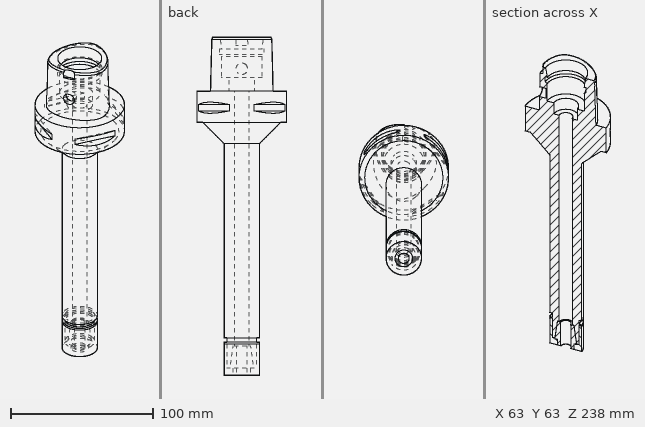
import cadquery as cq
import math


overall_length = 238.0
shank_length = 38.0
bottom_z = shank_length - overall_length

shank_base_radius = 22.1
shank_taper = 1.0
lobe_height = 1.5
shank_points = 24
rim_chamfer_height = 1.7
rim_chamfer_width = 0.7

notch_radius = 6.0
notch_depth = 6.0
notch_floor_y = -17.8
side_hole_radius = 4.0
side_hole_z = 15.7
side_hole_floor_y = -15.5

flange_diameter = 63.0
flange_radius = flange_diameter / 2
flange_height = 22.0
slot_count = 4
slot_floor_distance = 27.5
slot_floor_height = 4.3
slot_flare = 1.78
slot_z = -11.7
first_slot_angle = 45.0
cone_height = 15.0

bar_diameter = 25.0
bar_radius = bar_diameter / 2
cone_top_radius = bar_radius + cone_height
nut_length = 22.0
nut_top_z = bottom_z + nut_length
collar_height = 1.5
groove_height = 3.0
neck_radius = 10.5
nose_length = 16.7
nose_end_z = nut_top_z - nose_length

mouth_radius = 15.5
socket_radius = 14.3
recess_radius = 15.7
mouth_depth = 6.7
recess_start = 8.3
recess_cone_start = 12.1
recess_end = recess_cone_start + recess_radius - socket_radius
socket_depth = 28.5
pilot_radius = 9.0
pilot_depth = 38.0
channel_radius = 5.0

collet_bore_radius = 3.8
collet_head_radius = 8.3
collet_end_radius = 6.2
collet_inset = 1.2
collet_top_z = nut_top_z - collet_inset


def revolved(profile):
    """Solid of revolution about Z from (radius, z) points."""
    return cq.Workplane("XZ").polyline(profile).close().revolve(360, (0, 0), (0, 1))


def cylinder(radius, low_z, high_z):
    """Cylinder on the Z axis between two heights."""
    return cq.Workplane("XY").workplane(offset=low_z).circle(radius).extrude(high_z - low_z)


def lobed_point(mean_radius, angle):
    """Point of the three-lobed outline whose tangent faces the given angle; one lobe faces +Y."""
    lobe_angle = 3 * (angle - math.pi / 2)
    reach = mean_radius + lobe_height * math.cos(lobe_angle)
    slide = -3 * lobe_height * math.sin(lobe_angle)
    x = reach * math.cos(angle) - slide * math.sin(angle)
    y = reach * math.sin(angle) + slide * math.cos(angle)
    return (x, y)


def lobed_frustum(low_radius, high_radius, low_z, high_z):
    """Tapered three-lobed solid between two heights."""
    angles = [-math.pi / 2 + 2 * math.pi * i / shank_points for i in range(shank_points)]
    low_points = [lobed_point(low_radius, angle) for angle in angles]
    high_points = [lobed_point(high_radius, angle) for angle in angles]
    outline = cq.Workplane("XY").workplane(offset=low_z).spline(low_points, periodic=True).close()
    outline = outline.workplane(offset=high_z - low_z).spline(high_points, periodic=True).close()
    return outline.loft(ruled=True)


def make_shank():
    """Tapered shank with its rim chamfer, drive notch and side hole."""
    chamfer_z = shank_length - rim_chamfer_height
    chamfer_radius = shank_base_radius - shank_taper * chamfer_z / shank_length
    taper = lobed_frustum(shank_base_radius, chamfer_radius, 0, chamfer_z)
    rim = lobed_frustum(chamfer_radius, chamfer_radius - rim_chamfer_width, chamfer_z, shank_length)
    notch = cylinder(notch_radius, shank_length - notch_depth, shank_length)
    notch = notch.translate((0, notch_floor_y - notch_radius, 0))
    side_hole = (
        cq.Workplane("XZ", origin=(0, side_hole_floor_y, side_hole_z))
        .circle(side_hole_radius)
        .extrude(shank_base_radius)
    )
    return taper.union(rim).cut(notch).cut(side_hole)


def make_gripper_slot():
    """Cutter on the +X side: a flat floor with flanks flaring out to the flange surface."""
    floor_half = slot_floor_height / 2
    mouth_half = floor_half + slot_flare
    return (
        cq.Workplane("XZ", origin=(0, flange_radius, 0))
        .polyline([
            (slot_floor_distance, slot_z - floor_half),
            (flange_radius, slot_z - mouth_half),
            (flange_radius, slot_z + mouth_half),
            (slot_floor_distance, slot_z + floor_half),
        ])
        .close()
        .extrude(2 * flange_radius)
    )


def make_body():
    """Flange, cone, grooved bar and nose in one turned piece."""
    cone_end_z = -flange_height - cone_height
    collar_top_z = nut_top_z + collar_height
    groove_top_z = collar_top_z + groove_height
    body = revolved([
        (0, 0),
        (flange_radius, 0),
        (flange_radius, -flange_height),
        (cone_top_radius, -flange_height),
        (bar_radius, cone_end_z),
        (bar_radius, groove_top_z),
        (neck_radius, groove_top_z),
        (neck_radius, collar_top_z),
        (bar_radius, collar_top_z),
        (bar_radius, nut_top_z),
        (neck_radius, nut_top_z),
        (neck_radius, nose_end_z),
        (0, nose_end_z),
    ])
    slot = make_gripper_slot()
    for i in range(slot_count):
        body = body.cut(slot.rotate((0, 0, 0), (0, 0, 1), first_slot_angle + 360 / slot_count * i))
    return body


def make_bore():
    """Stepped bore with a recess, open at the top and running down through the nose."""
    return revolved([
        (0, shank_length),
        (mouth_radius, shank_length),
        (socket_radius, shank_length - mouth_depth),
        (socket_radius, shank_length - recess_start),
        (recess_radius, shank_length - recess_start),
        (recess_radius, shank_length - recess_cone_start),
        (socket_radius, shank_length - recess_end),
        (socket_radius, shank_length - socket_depth),
        (pilot_radius, shank_length - socket_depth),
        (pilot_radius, shank_length - pilot_depth),
        (channel_radius, shank_length - pilot_depth),
        (channel_radius, nose_end_z),
        (0, nose_end_z),
    ])


def make_collet_blank():
    """Outer shape of the collet: a cone seated in the nose and a plain face held by the nut."""
    return revolved([
        (0, collet_top_z),
        (collet_end_radius, collet_top_z),
        (collet_head_radius, nose_end_z),
        (collet_end_radius, nose_end_z),
        (collet_end_radius, bottom_z),
        (0, bottom_z),
    ])


collet_blank = make_collet_blank()

holder = make_shank().union(make_body()).cut(make_bore()).cut(collet_blank)

nut = cylinder(bar_radius, bottom_z, nut_top_z)
nut = nut.cut(cylinder(neck_radius, nose_end_z, nut_top_z)).cut(collet_blank)

collet = collet_blank.cut(cylinder(collet_bore_radius, bottom_z, collet_top_z))

result = cq.Compound.makeCompound([holder.val(), nut.val(), collet.val()])